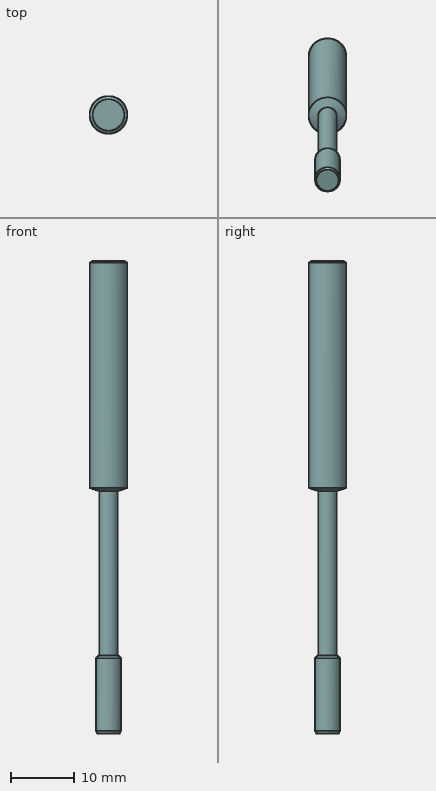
import cadquery as cq

overall_length = 75.0
shank_length = 36.0
head_length = 12.35

shank_radius = 3.0
neck_radius = 1.5
head_radius = 2.0

shank_end_chamfer_width = 0.5
shank_end_chamfer_height = 0.3
shank_taper_height = 0.5
nose_chamfer_width = 0.25
nose_chamfer_height = 0.5
neck_flare = 0.15
head_shoulder_chamfer = head_radius - neck_radius - neck_flare


def revolve_about_z(half_profile):
    """Solid of revolution from (radius, height) points that start and end on the axis."""
    return (
        cq.Workplane("XZ")
        .polyline(half_profile)
        .close()
        .revolve(360, (0, 0, 0), (0, 1, 0))
    )


def make_holder():
    """Cylindrical shank, bevelled at its top, tapering below into a slender neck flared at its foot."""
    shank_bottom = overall_length - shank_length
    return revolve_about_z([
        (0, head_length),
        (neck_radius + neck_flare, head_length),
        (neck_radius, head_length + neck_flare),
        (neck_radius, shank_bottom - shank_taper_height),
        (shank_radius, shank_bottom),
        (shank_radius, overall_length - shank_end_chamfer_height),
        (shank_radius - shank_end_chamfer_width, overall_length),
        (0, overall_length),
    ])


def make_cutting_head():
    """Short cylinder with a bevelled nose and a bevelled shoulder in line with the neck flare."""
    return revolve_about_z([
        (0, 0),
        (head_radius - nose_chamfer_width, 0),
        (head_radius, nose_chamfer_height),
        (head_radius, head_length - head_shoulder_chamfer),
        (neck_radius + neck_flare, head_length),
        (0, head_length),
    ])


holder = make_holder()
cutting_head = make_cutting_head()

result = cq.Compound.makeCompound([holder.val(), cutting_head.val()])